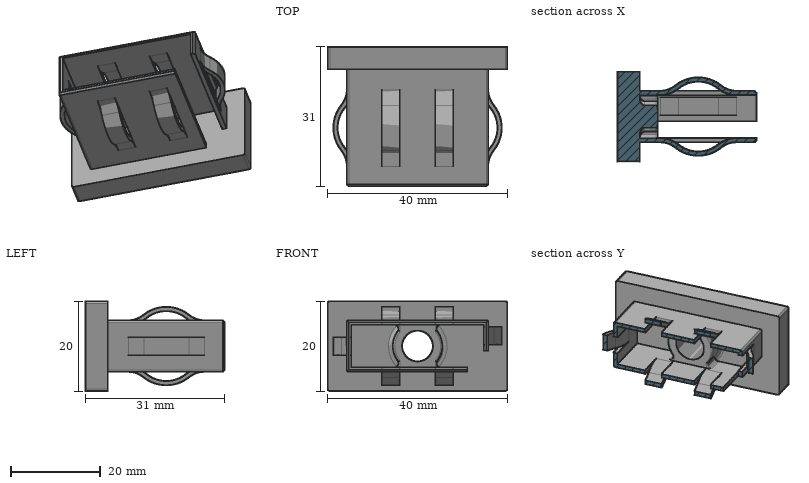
import cadquery as cq
import math

PLATE_X = 40.0
PLATE_Z = 20.0
PLATE_THICK = 5.0
PLATE_EDGE_RADIUS = 0.5

SLEEVE_X = 31.5
SLEEVE_Z = 11.5
SLEEVE_LENGTH = 26.0
WALL = 1.0
SLEEVE_EDGE_RADIUS = 0.5
MOUTH_CHAMFER = 0.45
BOTTOM_WALL_END_X = 11.1
RIGHT_WALL_END_Z = -1.1

SPRING_WIDTH = 4.0
SPRING_LENGTH = 17.0
SPRING_RISE = 3.0
CREST_RADIUS = 8.0
SPRING_CENTER_Y = -13.0
SPRING_OFFSET_X = 6.0
RIGHT_SPRING_Z = 2.3

BORE_DIAMETER = 6.8
BOSS_RADIUS = 5.5
BOSS_HEIGHT = 4.0
BOSS_TOP_RADIUS = 0.4
BOSS_FLARE = 1.0
WEB_HALF_WIDTH = 4.3
WEB_CORNER_RADIUS = 0.8

INNER_X = SLEEVE_X - 2 * WALL
INNER_Z = SLEEVE_Z - 2 * WALL


def block(x_min, x_max, y_min, y_max, z_min, z_max):
    size = (x_max - x_min, y_max - y_min, z_max - z_min)
    return cq.Workplane("XY").box(*size, centered=False).translate((x_min, y_min, z_min))


def cover_plate():
    plate = block(-PLATE_X / 2, PLATE_X / 2, 0, PLATE_THICK, -PLATE_Z / 2, PLATE_Z / 2)
    return plate.edges("|Y").fillet(PLATE_EDGE_RADIUS)


def sleeve():
    half_x = SLEEVE_X / 2
    half_z = SLEEVE_Z / 2
    tube = block(-half_x, half_x, -SLEEVE_LENGTH, 0, -half_z, half_z)
    tube = tube.edges("|Y").fillet(SLEEVE_EDGE_RADIUS)
    tube = tube.faces("<Y").chamfer(MOUTH_CHAMFER)
    tube = tube.cut(block(-INNER_X / 2, INNER_X / 2, -SLEEVE_LENGTH, 0, -INNER_Z / 2, INNER_Z / 2))
    corner_gap = block(BOTTOM_WALL_END_X, half_x, -SLEEVE_LENGTH, 0, -half_z, RIGHT_WALL_END_Z)
    return tube.cut(corner_gap)


def spring_strip():
    """Bowed strip centred on the origin: long in X, wide in Y, bowed toward +Z from Z = 0."""
    half = SPRING_LENGTH / 2
    radius_sum = (half**2 + SPRING_RISE**2) / (2 * SPRING_RISE)
    foot_radius = radius_sum - CREST_RADIUS
    crest_center_z = SPRING_RISE - CREST_RADIUS
    turn = math.asin(half / radius_sum)

    def crest_point(offset, angle):
        radius = CREST_RADIUS - offset
        return radius * math.sin(angle), crest_center_z + radius * math.cos(angle)

    def foot_point(offset, angle):
        radius = foot_radius + offset
        return half - radius * math.sin(angle), foot_radius - radius * math.cos(angle)

    def mirrored(point):
        return -point[0], point[1]

    outer_joint = crest_point(0, turn)
    outer_foot = foot_point(0, turn / 2)
    inner_joint = crest_point(WALL, turn)
    inner_foot = foot_point(WALL, turn / 2)
    profile = (
        cq.Workplane("XZ")
        .moveTo(-half, 0)
        .threePointArc(mirrored(outer_foot), mirrored(outer_joint))
        .threePointArc((0, SPRING_RISE), outer_joint)
        .threePointArc(outer_foot, (half, 0))
        .lineTo(half, -WALL)
        .threePointArc(inner_foot, inner_joint)
        .threePointArc((0, SPRING_RISE - WALL), mirrored(inner_joint))
        .threePointArc(mirrored(inner_foot), (-half, -WALL))
        .close()
    )
    return profile.extrude(SPRING_WIDTH / 2, both=True)


def spring_window():
    """Opening in the wall that the strip was pressed out of."""
    return block(
        -SPRING_LENGTH / 2, SPRING_LENGTH / 2, -SPRING_WIDTH / 2, SPRING_WIDTH / 2, -WALL, 0
    )


def place_on_wall(shape, wall_angle, wall_distance, along_wall):
    """Turn the strip lengthwise along Y and set it on a wall; wall_angle runs from +Z toward +X."""
    shape = shape.rotate((0, 0, 0), (0, 0, 1), 90)
    shape = shape.translate((along_wall, SPRING_CENTER_Y, wall_distance))
    return shape.rotate((0, 0, 0), (0, 1, 0), wall_angle)


def add_springs(body):
    positions = [(90, SLEEVE_X / 2, -RIGHT_SPRING_Z), (-90, SLEEVE_X / 2, 0)]
    for wall_angle in (0, 180):
        for side in (-1, 1):
            positions.append((wall_angle, SLEEVE_Z / 2, side * SPRING_OFFSET_X))
    for position in positions:
        body = body.cut(place_on_wall(spring_window(), *position))
        body = body.union(place_on_wall(spring_strip(), *position))
    return body


def round_boss():
    """Disc with a rounded top edge and a concave flare down to the plate."""
    quarter_gap = 1 - math.sqrt(0.5)
    flare_gap = BOSS_FLARE * quarter_gap
    shoulder_gap = BOSS_TOP_RADIUS * quarter_gap
    profile = (
        cq.Workplane("XY")
        .lineTo(BOSS_RADIUS + BOSS_FLARE, 0)
        .threePointArc((BOSS_RADIUS + flare_gap, -flare_gap), (BOSS_RADIUS, -BOSS_FLARE))
        .lineTo(BOSS_RADIUS, BOSS_TOP_RADIUS - BOSS_HEIGHT)
        .threePointArc(
            (BOSS_RADIUS - shoulder_gap, shoulder_gap - BOSS_HEIGHT),
            (BOSS_RADIUS - BOSS_TOP_RADIUS, -BOSS_HEIGHT),
        )
        .lineTo(0, -BOSS_HEIGHT)
        .close()
    )
    boss = profile.revolve(360, (0, 0, 0), (0, 1, 0))
    return boss.intersect(
        block(-INNER_X / 2, INNER_X / 2, -BOSS_HEIGHT, 0, -INNER_Z / 2, INNER_Z / 2)
    )


def boss_web():
    """Flat web joining the boss to the top and bottom sleeve walls, splayed where it meets them."""
    web = block(-WEB_HALF_WIDTH, WEB_HALF_WIDTH, -BOSS_HEIGHT, 0, -INNER_Z / 2, INNER_Z / 2)
    flange_half = WEB_HALF_WIDTH + 2 * WEB_CORNER_RADIUS
    for wall_side in (-1, 1):
        inner = wall_side * INNER_Z / 2
        outer = wall_side * (INNER_Z + WALL) / 2
        flange = block(
            -flange_half, flange_half, -BOSS_HEIGHT, 0, min(inner, outer), max(inner, outer)
        )
        web = web.union(flange)
    inside_corners = cq.selectors.BoxSelector(
        (-WEB_HALF_WIDTH - WEB_CORNER_RADIUS, -BOSS_HEIGHT, -(INNER_Z + WALL / 2) / 2),
        (WEB_HALF_WIDTH + WEB_CORNER_RADIUS, 0, (INNER_Z + WALL / 2) / 2),
    )
    web = web.edges("|Y").edges(inside_corners).fillet(WEB_CORNER_RADIUS)
    return web.faces("<Y").edges("not #Z").fillet(BOSS_TOP_RADIUS)


def bore():
    length = BOSS_HEIGHT + PLATE_THICK
    return cq.Workplane("XZ", origin=(0, PLATE_THICK, 0)).circle(BORE_DIAMETER / 2).extrude(length)


body = cover_plate().union(sleeve())
body = add_springs(body)
body = body.union(round_boss()).union(boss_web())
result = body.cut(bore())